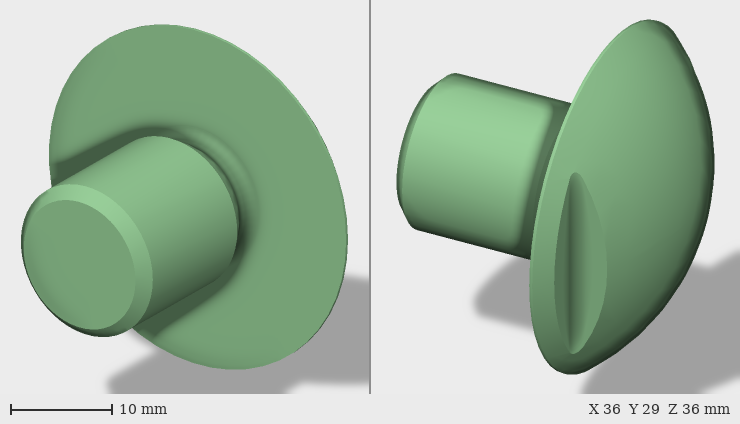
import cadquery as cq
import math

head_radius = 18.0
head_height = 9.0
rim_thickness = 0.32
flat_half_width = 12.0
ledge_height = 2.0
ledge_fillet = 1.0

total_length = 29.0
shank_length = total_length - head_height
shank_radius = 8.0
tip_chamfer = 1.22

neck_diameter = 13.0
neck_radius = neck_diameter / 2
neck_fillet = 1.0
cone_end = 4.45
cone_angle = math.radians(30)


def dome_profile_radius():
    """Radius of the sphere that passes through the crown and the rim."""
    rise = head_height - rim_thickness
    return (head_radius**2 + rise**2) / (2 * rise)


def make_turned_body():
    """Revolve the dome, neck and shank about Y, with the head underside at Y = 0."""
    sphere_radius = dome_profile_radius()
    dome_mid_radius = head_radius / 2
    dome_mid_height = head_height - sphere_radius + math.sqrt(sphere_radius**2 - dome_mid_radius**2)

    cone_start = cone_end - (shank_radius - neck_radius) / math.tan(cone_angle)
    blend_start = cone_start - neck_fillet * math.tan(cone_angle / 2)

    def blend_point(angle):
        radius = neck_radius + neck_fillet * (1 - math.cos(angle))
        return radius, -(blend_start + neck_fillet * math.sin(angle))

    corner_offset = neck_fillet * (1 - math.sqrt(0.5))

    profile = (
        cq.Workplane("XY")
        .moveTo(0, head_height)
        .threePointArc((dome_mid_radius, dome_mid_height), (head_radius, rim_thickness))
        .lineTo(head_radius, 0)
        .lineTo(neck_radius + neck_fillet, 0)
        .threePointArc((neck_radius + corner_offset, -corner_offset), (neck_radius, -neck_fillet))
        .lineTo(neck_radius, -blend_start)
        .threePointArc(blend_point(cone_angle / 2), blend_point(cone_angle))
        .lineTo(shank_radius, -cone_end)
        .lineTo(shank_radius, -(shank_length - tip_chamfer))
        .lineTo(shank_radius - tip_chamfer, -shank_length)
        .lineTo(0, -shank_length)
        .close()
    )
    return profile.revolve(360, (0, 0, 0), (0, 1, 0))


def make_side_cutter():
    """Block that cuts the +X flat and its ledge, rounded along their inner corner."""
    cutter = cq.Workplane("XY").box(
        head_radius, head_height, 2 * head_radius, centered=(False, False, True)
    )
    cutter = cutter.edges("<X and <Y").fillet(ledge_fillet)
    return cutter.translate((flat_half_width, ledge_height, 0))


side_cutter = make_side_cutter()
result = make_turned_body().cut(side_cutter).cut(side_cutter.mirror("YZ"))